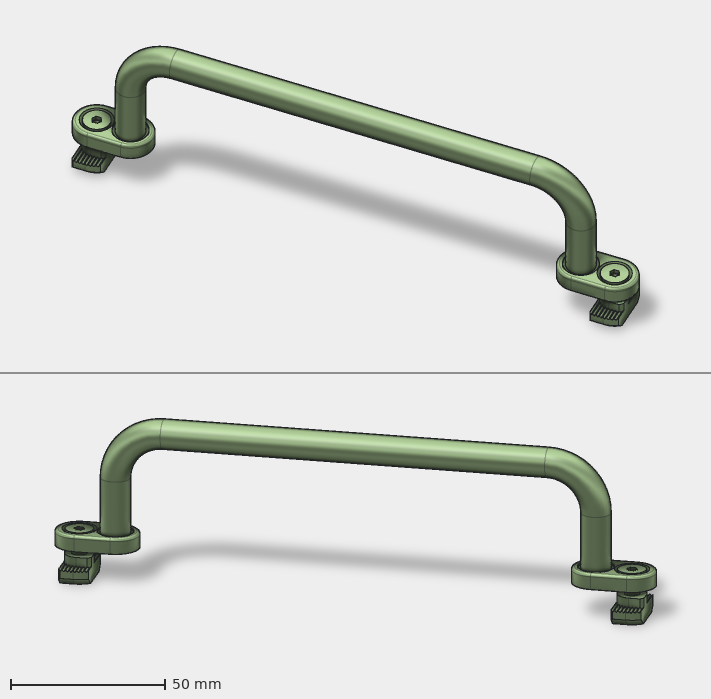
import cadquery as cq
import math

overall_length = 200.0
foot_width = 16.0
foot_thickness = 5.5
foot_edge_radius = 1.0
screw_to_bar = 12.0
foot_end_radius = foot_width / 2
screw_x = overall_length / 2 - foot_end_radius
bar_x = screw_x - screw_to_bar

bar_diameter = 10.0
bar_height = 39.5
bend_radius = 16.0
bar_axis_z = bar_height - bar_diameter / 2

head_diameter = 9.5
shank_diameter = 5.0
hex_width = 3.0
hex_depth = 1.5
drill_point_angle = 118.0

recess_depth = 3.5
counterbore_chamfer = 1.0
clearance_diameter = 5.5
socket_rim_diameter = 12.0
socket_rim_depth = 0.5

boss_size = 9.8
boss_height = 3.0
boss_corner_chamfer = 1.2
nut_gap = 3.0
nut_length = 19.0
nut_width = boss_size
nut_head_height = 5.5
nut_bottom_chamfer = 2.5
nut_corner_chamfer = 0.5
tooth_count = 8
tooth_depth = 0.5
tooth_pitch = nut_width / tooth_count

boss_top_z = -foot_thickness - nut_gap
nut_head_top_z = boss_top_z - boss_height
nut_bottom_z = nut_head_top_z - nut_head_height


def make_bar():
    """Round bar bent into a U, with both ends standing in the foot sockets."""
    bend_offset = bend_radius * (1 - math.sqrt(0.5))
    bend_start_z = bar_axis_z - bend_radius
    straight_end_x = bar_x - bend_radius
    path = (
        cq.Workplane("XZ")
        .moveTo(-bar_x, -recess_depth)
        .lineTo(-bar_x, bend_start_z)
        .threePointArc((-bar_x + bend_offset, bar_axis_z - bend_offset), (-straight_end_x, bar_axis_z))
        .lineTo(straight_end_x, bar_axis_z)
        .threePointArc((bar_x - bend_offset, bar_axis_z - bend_offset), (bar_x, bend_start_z))
        .lineTo(bar_x, -recess_depth)
    )
    profile = cq.Workplane("XY", origin=(-bar_x, 0, -recess_depth)).circle(bar_diameter / 2)
    return profile.sweep(path)


def make_screw_opening():
    """Cutting body of a chamfered counterbore and screw hole, with its axis on Z."""
    radius = head_diameter / 2
    hole_radius = clearance_diameter / 2
    return (
        cq.Workplane("XZ")
        .lineTo(radius + counterbore_chamfer, 0)
        .lineTo(radius, -counterbore_chamfer)
        .lineTo(radius, -recess_depth)
        .lineTo(hole_radius, -recess_depth)
        .lineTo(hole_radius, -foot_thickness)
        .lineTo(0, -foot_thickness)
        .close()
        .revolve(360, (0, 0, 0), (0, 1, 0))
    )


def make_bar_socket():
    """Cutting body of a blind bar socket with a shallow rim, with its axis on Z."""
    rim = cq.Workplane("XY").circle(socket_rim_diameter / 2).extrude(-socket_rim_depth)
    socket = cq.Workplane("XY").circle(bar_diameter / 2).extrude(-recess_depth)
    return rim.union(socket)


def make_foot(side):
    """Round-ended plate that holds a screw outside and a bar end inside."""
    foot_x = side * (screw_x + bar_x) / 2
    foot = (
        cq.Workplane("XY", origin=(foot_x, 0, -foot_thickness))
        .slot2D(screw_to_bar + foot_width, foot_width)
        .extrude(foot_thickness)
        .faces(">Z").edges().fillet(foot_edge_radius)
    )
    foot = foot.cut(make_screw_opening().translate((side * screw_x, 0, 0)))
    return foot.cut(make_bar_socket().translate((side * bar_x, 0, 0)))


def make_screw(side):
    """Low-head screw with a hexagon socket, flush with the foot and ending at the nut bottom."""
    axis_x = side * screw_x
    head = (
        cq.Workplane("XY", origin=(axis_x, 0, -recess_depth))
        .circle(head_diameter / 2)
        .extrude(recess_depth)
    )
    shank = (
        cq.Workplane("XY", origin=(axis_x, 0, nut_bottom_z))
        .circle(shank_diameter / 2)
        .extrude(-recess_depth - nut_bottom_z)
    )
    hex_socket = (
        cq.Workplane("XY", origin=(axis_x, 0, -hex_depth))
        .polygon(6, hex_width / math.cos(math.pi / 6))
        .extrude(hex_depth)
    )
    point_radius = hex_width / 2
    point_depth = point_radius / math.tan(math.radians(drill_point_angle / 2))
    drill_point = (
        cq.Workplane("XZ", origin=(axis_x, 0, -hex_depth))
        .lineTo(point_radius, 0)
        .lineTo(0, -point_depth)
        .close()
        .revolve(360, (0, 0, 0), (0, 1, 0))
    )
    return head.union(shank).cut(hex_socket).cut(drill_point)


def make_nut_head():
    """Long nut head, two opposite corners rounded, ends chamfered, serrated on top."""
    half_width = nut_width / 2
    half_length = nut_length / 2
    arc_end_y = math.sqrt(half_length**2 - half_width**2)
    arc_mid_x = half_length * math.sin(math.asin(half_width / half_length) / 2)
    arc_mid_y = math.sqrt(half_length**2 - arc_mid_x**2)
    head = (
        cq.Workplane("XY", origin=(0, 0, nut_bottom_z))
        .moveTo(-half_width, -half_length)
        .lineTo(0, -half_length)
        .threePointArc((arc_mid_x, -arc_mid_y), (half_width, -arc_end_y))
        .lineTo(half_width, half_length)
        .lineTo(0, half_length)
        .threePointArc((-arc_mid_x, arc_mid_y), (-half_width, arc_end_y))
        .close()
        .extrude(nut_head_height)
        .faces("<Z").edges("not(|Y)").chamfer(nut_bottom_chamfer)
    )
    for turn in (0, 180):
        corner = (
            cq.Workplane("XY", origin=(-half_width, -half_length, nut_bottom_z))
            .polyline([(0, 0), (nut_corner_chamfer, 0), (0, nut_corner_chamfer)])
            .close()
            .extrude(nut_head_height)
            .rotate((0, 0, 0), (0, 0, 1), turn)
        )
        head = head.cut(corner)

    for tooth in range(tooth_count):
        groove_x = (tooth + 0.5) * tooth_pitch - half_width
        groove = (
            cq.Workplane("XZ", origin=(groove_x, half_length, nut_head_top_z))
            .moveTo(-tooth_pitch / 2, 0)
            .lineTo(tooth_pitch / 2, 0)
            .lineTo(0, -tooth_depth)
            .close()
            .extrude(nut_length)
        )
        head = head.cut(groove)
    return head


def make_nut_boss():
    """Square boss, two opposite corners fully rounded, the others chamfered."""
    half = boss_size / 2
    boss_base_z = nut_head_top_z - tooth_depth
    arc_mid = half * math.sqrt(0.5)
    return (
        cq.Workplane("XY", origin=(0, 0, boss_base_z))
        .moveTo(-half, 0)
        .threePointArc((-arc_mid, -arc_mid), (0, -half))
        .lineTo(half - boss_corner_chamfer, -half)
        .lineTo(half, -half + boss_corner_chamfer)
        .lineTo(half, 0)
        .threePointArc((arc_mid, arc_mid), (0, half))
        .lineTo(-half + boss_corner_chamfer, half)
        .lineTo(-half, half - boss_corner_chamfer)
        .close()
        .extrude(boss_top_z - boss_base_z)
    )


def make_nut(side):
    """Slot nut bored through for the screw shank."""
    bore = (
        cq.Workplane("XY", origin=(0, 0, nut_bottom_z))
        .circle(shank_diameter / 2)
        .extrude(boss_top_z - nut_bottom_z)
    )
    nut = make_nut_head().union(make_nut_boss()).cut(bore)
    return nut.translate((side * screw_x, 0, 0))


sides = (-1, 1)
bar = make_bar()
feet = [make_foot(side) for side in sides]
screws = [make_screw(side) for side in sides]
nuts = [make_nut(side) for side in sides]

bodies = [bar, *feet, *screws, *nuts]
result = cq.Compound.makeCompound([body.solids().val() for body in bodies])